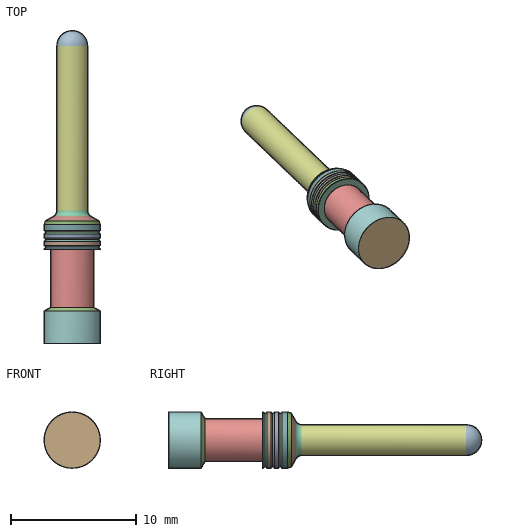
import cadquery as cq
import math

total_length = 25.0
pin_radius = 2.48 / 2
neck_radius = 3.45 / 2
flange_radius = 4.5 / 2

collar_cylinder_end = 2.6

flange_start = 7.5
flange_cylinder_end = 9.5
groove_count = 3
groove_pitch = 0.6
groove_depth = 0.15
groove_half_width = 0.15
first_groove_center = 7.7

lead_in_length = 0.3
lead_in_depth = 0.1

cone_angle = math.radians(60)
shoulder_arc_radius = 0.5

collar_end = collar_cylinder_end + (flange_radius - neck_radius) / math.tan(cone_angle)

arc_length = shoulder_arc_radius * math.sin(cone_angle)
arc_drop = shoulder_arc_radius * (1 - math.cos(cone_angle))
half_arc_length = shoulder_arc_radius * math.sin(cone_angle / 2)
half_arc_drop = shoulder_arc_radius * (1 - math.cos(cone_angle / 2))

lead_in_radius = flange_radius - lead_in_depth
lead_in_end = flange_cylinder_end + lead_in_length
cone_drop = lead_in_radius - pin_radius - arc_drop
cone_end = lead_in_end + cone_drop / math.tan(cone_angle)
pin_start = cone_end + arc_length
dome_start = total_length - pin_radius
dome_midpoint_offset = pin_radius * math.sqrt(0.5)


def make_body():
    """Revolve the half profile (radius, Y) about the Y axis."""
    profile = (
        cq.Workplane("XY")
        .moveTo(0, 0)
        .lineTo(flange_radius, 0)
        .lineTo(flange_radius, collar_cylinder_end)
        .lineTo(neck_radius, collar_end)
        .lineTo(neck_radius, flange_start)
        .lineTo(flange_radius, flange_start)
        .lineTo(flange_radius, flange_cylinder_end)
        .lineTo(lead_in_radius, lead_in_end)
        .lineTo(pin_radius + arc_drop, cone_end)
        .threePointArc(
            (pin_radius + half_arc_drop, pin_start - half_arc_length),
            (pin_radius, pin_start),
        )
        .lineTo(pin_radius, dome_start)
        .threePointArc(
            (dome_midpoint_offset, dome_start + dome_midpoint_offset),
            (0, total_length),
        )
        .close()
    )
    return profile.revolve(360, (0, 0, 0), (0, 1, 0))


def make_groove(center):
    """Ring with a triangular section that cuts a V groove centred at the given Y."""
    overshoot = 2
    outer_radius = flange_radius + groove_depth * (overshoot - 1)
    half_width = groove_half_width * overshoot
    section = cq.Workplane("XY").polyline([
        (flange_radius - groove_depth, center),
        (outer_radius, center - half_width),
        (outer_radius, center + half_width),
    ])
    return section.close().revolve(360, (0, 0, 0), (0, 1, 0))


result = make_body()
for index in range(groove_count):
    result = result.cut(make_groove(first_groove_center + index * groove_pitch))